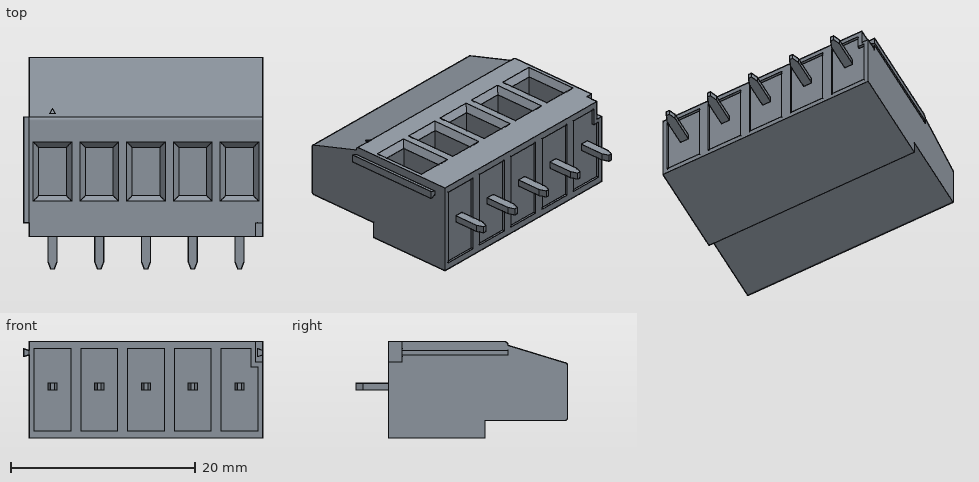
import cadquery as cq
import math

poles = 5
overall_width = 26.0
housing_width = 25.4
housing_height = 10.5
housing_depth = 19.47
pitch = housing_width / poles

foot_depth = 10.5
foot_height = 1.9
crest_y = 13.0
crest_drop = 0.42
shoulder_z = housing_height - crest_drop
back_height = 8.1
crest_radius = 0.4
back_radius = 0.29

flange_thickness = 1.48
panel_width = 4.0
panel_margin = 0.78
panel_depth = 0.25
notch_width = 0.78
notch_height = 2.25
notch_wall = 0.5

well_width = 4.2
well_front = 3.85
well_length = 6.45
well_depth = 5.2
lead_in_inset = 0.6
lead_in_depth = 0.7

rail_reach = overall_width - housing_width
rail_height = 0.88
rail_neck = 0.5
rail_drop = 0.78
rail_top = housing_height - rail_drop

pin_width = 1.0
pin_tip_width = 0.4
pin_thickness = 0.78
pin_reach = 3.54
pin_taper = 0.78
pin_z = 5.6

mark_width = 0.6
mark_length = 0.55
mark_front = 13.36
mark_depth = 0.1


def pole_x(index):
    """X of the centre line of a pole."""
    return (index + 0.5) * pitch


def block(x, y, z, width, depth, height):
    """Box placed by its lowest corner."""
    return cq.Workplane("XY").box(width, depth, height, centered=False).translate((x, y, z))


def make_housing():
    profile = [
        (0, 0),
        (foot_depth, 0),
        (foot_depth, foot_height),
        (housing_depth, foot_height),
        (housing_depth, back_height),
        (crest_y, shoulder_z),
        (crest_y, housing_height),
        (0, housing_height),
    ]
    body = cq.Workplane("YZ").polyline(profile).close().extrude(housing_width)
    body = body.edges("|X and >Y").fillet(back_radius)
    crest = cq.selectors.NearestToPointSelector((housing_width / 2, crest_y, housing_height))
    return body.edges(crest).fillet(crest_radius)


def make_corner_notch(wall=0.0):
    """Upper right corner of the flange, optionally grown by a wall on its inner sides."""
    width = notch_width + wall
    height = notch_height + wall
    return block(housing_width - width, 0, housing_height - height, width, flange_thickness, height)


def make_panel(index):
    left = pole_x(index) - panel_width / 2
    height = housing_height - 2 * panel_margin
    return block(left, 0, panel_margin, panel_width, panel_depth, height)


def make_well(index):
    """Straight rectangular well below a tapered lead-in."""
    center_y = well_front + well_length / 2
    top = cq.Workplane("XY", origin=(pole_x(index), center_y, housing_height))
    throat_width = well_width - 2 * lead_in_inset
    throat_length = well_length - 2 * lead_in_inset
    lead_in_angle = math.degrees(math.atan2(lead_in_inset, lead_in_depth))
    lead_in = top.rect(well_width, well_length).extrude(-lead_in_depth, taper=lead_in_angle)
    throat = top.rect(throat_width, throat_length).extrude(-well_depth)
    return lead_in.union(throat)


def make_dovetail(neck_x):
    """Bar that widens toward -X, running from the flange to the crest."""
    flare = (rail_height - rail_neck) / 2
    section = [
        (neck_x, rail_top - flare),
        (neck_x - rail_reach, rail_top),
        (neck_x - rail_reach, rail_top - rail_height),
        (neck_x, rail_top - rail_height + flare),
    ]
    back_plane = cq.Workplane("XZ", origin=(0, crest_y, 0))
    return back_plane.polyline(section).close().extrude(crest_y - flange_thickness)


def make_pin(index):
    outline = [
        (-pin_width / 2, panel_depth),
        (-pin_width / 2, pin_taper - pin_reach),
        (-pin_tip_width / 2, -pin_reach),
        (pin_tip_width / 2, -pin_reach),
        (pin_width / 2, pin_taper - pin_reach),
        (pin_width / 2, panel_depth),
    ]
    base = cq.Workplane("XY", origin=(pole_x(index), 0, pin_z - pin_thickness / 2))
    return base.polyline(outline).close().extrude(pin_thickness)


def make_mark():
    """Triangle pointing to the back, with a floor parallel to the slope."""
    slope = (shoulder_z - back_height) / (housing_depth - crest_y)
    mark_back = mark_front + mark_length
    front_floor_z = shoulder_z - slope * (mark_front - crest_y) - mark_depth
    back_floor_z = front_floor_z - slope * mark_length
    left = pole_x(0) - mark_width / 2

    side_profile = [
        (mark_front, front_floor_z),
        (mark_back, back_floor_z),
        (mark_back, housing_height),
        (mark_front, housing_height),
    ]
    sloped_block = cq.Workplane("YZ", origin=(left, 0, 0)).polyline(side_profile).close().extrude(mark_width)

    outline = [
        (left, mark_front),
        (left + mark_width, mark_front),
        (pole_x(0), mark_back),
    ]
    triangle = cq.Workplane("XY").polyline(outline).close().extrude(housing_height)
    return sloped_block.intersect(triangle)


result = make_housing()
result = result.cut(make_mark())
result = result.cut(make_corner_notch())
result = result.cut(make_dovetail(housing_width))
result = result.union(make_dovetail(0))

corner_web = make_corner_notch(notch_wall)
for pole in range(poles):
    result = result.cut(make_panel(pole).cut(corner_web))
    result = result.cut(make_well(pole))
    result = result.union(make_pin(pole))